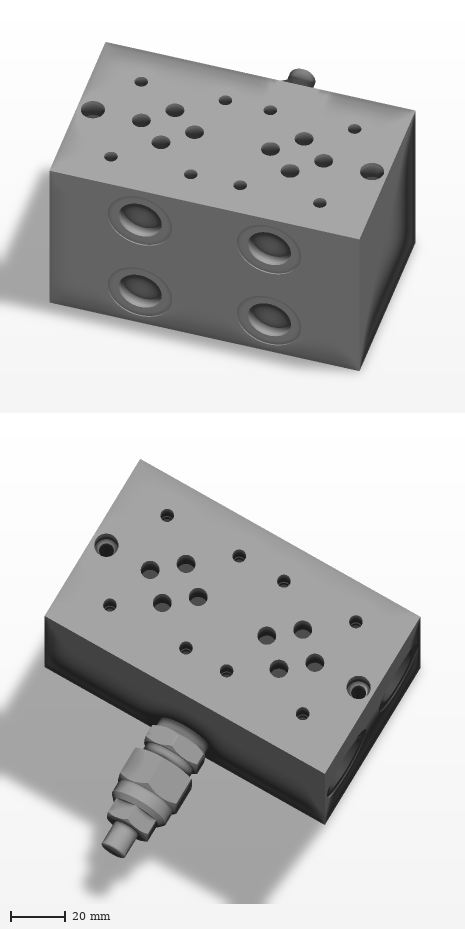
import cadquery as cq
import math

OVERALL_LENGTH = 122.5
BLOCK_WIDTH = 120.0
BLOCK_DEPTH = 70.0
BLOCK_HEIGHT = 69.5

STATION_X = 25.0
STATION_Y = BLOCK_DEPTH / 2

FRONT_SPOTFACE_DIAMETER = 25.0
FRONT_BORE_DIAMETER = 16.7
FRONT_BORE_DEPTH = 5.0
FRONT_PORT_HEIGHTS = (16.0, 53.5)

SIDE_SPOTFACE_DIAMETER = 29.0
SIDE_BORE_DIAMETER = 21.0
SIDE_BORE_DEPTH = 5.0
SIDE_PORT_Y = (15.9, 54.0)
SIDE_PORT_HEIGHT = 35.0
SPOTFACE_DEPTH = 0.5

PASSAGE_DIAMETER = 7.0
PASSAGE_DEPTH = 12.2
PASSAGE_OFFSET_X = 10.3
PASSAGE_OFFSET_Y = 8.7

THREAD_DIAMETER = 5.0
THREAD_DEPTH = 9.8
PILOT_DIAMETER = 4.3
PILOT_DEPTH = 12.2
DRILL_POINT_ANGLE = 118.0
REAR_SCREW_Y = 54.1
REAR_SCREW_OFFSET_X = 16.3
FRONT_SCREW_Y = 13.7
FRONT_SCREW_OFFSET_X = 15.4

MOUNT_X = 54.0
MOUNT_HOLE_DIAMETER = 5.5
MOUNT_COUNTERBORE_DIAMETER = 9.0
MOUNT_COUNTERBORE_DEPTH = 7.4

CARTRIDGE_AXIS_HEIGHT = 17.5
COLLAR_RADIUS = 10.4
NUT_START = 3.7
NUT_END = 10.9
NUT_ACROSS_FLATS = 22.0
NUT_TURNED_RADIUS = 12.6
NUT_FACE_RADIUS = 10.9
NUT_BEVEL_LENGTH = 1.2
NECK_RADIUS = 10.0
BODY_HEX_START = 15.0
BODY_HEX_END = 28.5
BODY_HEX_ACROSS_FLATS = 24.0
BODY_HEX_FACE_RADIUS = 11.9
BODY_HEX_BEVEL_LENGTH = 0.6
BODY_HEX_CONE_LENGTH = 1.8
SHOULDER_DIAMETER = 23.2
SHOULDER_RADIUS = SHOULDER_DIAMETER / 2
SHOULDER_END = 33.6
CAP_HEX_START = 35.5
CAP_HEX_END = 42.4
CAP_HEX_ACROSS_FLATS = 17.0
CAP_CONE_RADIUS = 9.8
CAP_HEX_FACE_RADIUS = 8.6
CAP_HEX_BEVEL_LENGTH = 0.9
STEM_RADIUS = 5.0
STEM_END = OVERALL_LENGTH - BLOCK_DEPTH
STEM_CHAMFER = 0.4

FRONT_PLANE = cq.Plane(origin=(0, 0, 0), xDir=(1, 0, 0), normal=(0, -1, 0))
SIDE_PLANE = cq.Plane(origin=(-BLOCK_WIDTH / 2, 0, 0), xDir=(0, -1, 0), normal=(-1, 0, 0))
TOP_PLANE = cq.Plane(origin=(0, 0, BLOCK_HEIGHT), xDir=(1, 0, 0), normal=(0, 0, 1))
CARTRIDGE_ORIGIN = (0, BLOCK_DEPTH, CARTRIDGE_AXIS_HEIGHT)


def drilled(plane, points, diameter, depth):
    """Flat-bottomed round holes cut inward from a face plane."""
    return cq.Workplane(plane).pushPoints(points).circle(diameter / 2).extrude(-depth)


def spotfaced_ports(plane, points, spotface_diameter, bore_diameter, bore_depth):
    """Port bores with a shallow spotface; the bore depth counts from the outer face."""
    spotfaces = drilled(plane, points, spotface_diameter, SPOTFACE_DEPTH)
    return spotfaces.union(drilled(plane, points, bore_diameter, bore_depth))


def screw_holes(points):
    """Threaded holes with a narrower pilot that ends in a drill point."""
    thread_radius = THREAD_DIAMETER / 2
    pilot_radius = PILOT_DIAMETER / 2
    point_length = pilot_radius / math.tan(math.radians(DRILL_POINT_ANGLE / 2))
    outline = [
        (0, 0),
        (thread_radius, 0),
        (thread_radius, -THREAD_DEPTH),
        (pilot_radius, -THREAD_DEPTH),
        (pilot_radius, -PILOT_DEPTH),
        (0, -PILOT_DEPTH - point_length),
    ]
    hole = cq.Workplane("XZ").polyline(outline).close().revolve(360, (0, 0), (0, 1)).val()
    return cq.Workplane(TOP_PLANE).pushPoints(points).eachpoint(lambda place: hole.located(place))


def mounting_holes():
    points = [(side * MOUNT_X, BLOCK_DEPTH / 2) for side in (-1, 1)]
    through = drilled(TOP_PLANE, points, MOUNT_HOLE_DIAMETER, BLOCK_HEIGHT)
    return through.union(drilled(TOP_PLANE, points, MOUNT_COUNTERBORE_DIAMETER, MOUNT_COUNTERBORE_DEPTH))


def make_block():
    block = cq.Workplane("XY").box(BLOCK_WIDTH, BLOCK_DEPTH, BLOCK_HEIGHT, centered=(True, False, False))

    front_points = [(side * STATION_X, z) for side in (-1, 1) for z in FRONT_PORT_HEIGHTS]
    block = block.cut(spotfaced_ports(
        FRONT_PLANE, front_points, FRONT_SPOTFACE_DIAMETER, FRONT_BORE_DIAMETER, FRONT_BORE_DEPTH))

    side_points = [(-y, SIDE_PORT_HEIGHT) for y in SIDE_PORT_Y]
    block = block.cut(spotfaced_ports(
        SIDE_PLANE, side_points, SIDE_SPOTFACE_DIAMETER, SIDE_BORE_DIAMETER, SIDE_BORE_DEPTH))

    passage_points = []
    screw_points = []
    for station_x in (-STATION_X, STATION_X):
        for sign in (-1, 1):
            passage_points.append((station_x + sign * PASSAGE_OFFSET_X, STATION_Y))
            passage_points.append((station_x, STATION_Y + sign * PASSAGE_OFFSET_Y))
            screw_points.append((station_x + sign * REAR_SCREW_OFFSET_X, REAR_SCREW_Y))
            screw_points.append((station_x + sign * FRONT_SCREW_OFFSET_X, FRONT_SCREW_Y))
    block = block.cut(drilled(TOP_PLANE, passage_points, PASSAGE_DIAMETER, PASSAGE_DEPTH))
    block = block.cut(screw_holes(screw_points))
    return block.cut(mounting_holes())


def turned(outline):
    """Solid of revolution about the cartridge axis from (radius, station) points."""
    plane = cq.Plane(origin=CARTRIDGE_ORIGIN, xDir=(1, 0, 0), normal=(0, 0, 1))
    return cq.Workplane(plane).polyline(outline).close().revolve(360, (0, 0), (0, 1))


def corner_radius(across_flats):
    return across_flats / math.sqrt(3)


def hexagon(start, end, across_flats, envelope):
    """Hexagonal length with flats on +X and -X, trimmed by a turned envelope."""
    plane = cq.Plane(origin=CARTRIDGE_ORIGIN, xDir=(0, 0, 1), normal=(0, 1, 0))
    across_corners = 2 * corner_radius(across_flats)
    prism = cq.Workplane(plane).workplane(offset=start).polygon(6, across_corners).extrude(end - start)
    return prism.intersect(turned(envelope))


def lock_nut():
    """Hexagon nut, turned over its corners and bevelled at both faces."""
    envelope = [
        (0, NUT_START),
        (NUT_FACE_RADIUS, NUT_START),
        (NUT_TURNED_RADIUS, NUT_START + NUT_BEVEL_LENGTH),
        (NUT_TURNED_RADIUS, NUT_END - NUT_BEVEL_LENGTH),
        (NUT_FACE_RADIUS, NUT_END),
        (0, NUT_END),
    ]
    return hexagon(NUT_START, NUT_END, NUT_ACROSS_FLATS, envelope)


def body_hexagon():
    """Main hexagon: bevelled at its inner face, with a cone from its corners to the round shoulder."""
    corner = corner_radius(BODY_HEX_ACROSS_FLATS)
    envelope = [
        (0, BODY_HEX_START),
        (BODY_HEX_FACE_RADIUS, BODY_HEX_START),
        (corner, BODY_HEX_START + BODY_HEX_BEVEL_LENGTH),
        (corner, BODY_HEX_END - BODY_HEX_CONE_LENGTH),
        (SHOULDER_RADIUS, BODY_HEX_END),
        (0, BODY_HEX_END),
    ]
    return hexagon(BODY_HEX_START, BODY_HEX_END, BODY_HEX_ACROSS_FLATS, envelope)


def cap_hexagon():
    """Small hexagon, bevelled at its outer face."""
    corner = corner_radius(CAP_HEX_ACROSS_FLATS)
    envelope = [
        (0, CAP_HEX_START),
        (corner, CAP_HEX_START),
        (corner, CAP_HEX_END - CAP_HEX_BEVEL_LENGTH),
        (CAP_HEX_FACE_RADIUS, CAP_HEX_END),
        (0, CAP_HEX_END),
    ]
    return hexagon(CAP_HEX_START, CAP_HEX_END, CAP_HEX_ACROSS_FLATS, envelope)


def make_cartridge():
    """Cartridge seated flat on the block's back face."""
    round_outline = [
        (0, 0),
        (COLLAR_RADIUS, 0),
        (COLLAR_RADIUS, NUT_START),
        (NECK_RADIUS, NUT_START),
        (NECK_RADIUS, BODY_HEX_END),
        (SHOULDER_RADIUS, BODY_HEX_END),
        (SHOULDER_RADIUS, SHOULDER_END),
        (CAP_CONE_RADIUS, CAP_HEX_START),
        (STEM_RADIUS, CAP_HEX_START),
        (STEM_RADIUS, STEM_END - STEM_CHAMFER),
        (STEM_RADIUS - STEM_CHAMFER, STEM_END),
        (0, STEM_END),
    ]
    cartridge = turned(round_outline)
    for section in (lock_nut(), body_hexagon(), cap_hexagon()):
        cartridge = cartridge.union(section)
    return cartridge


block = make_block()
cartridge = make_cartridge()
result = cq.Compound.makeCompound([block.val(), cartridge.val()])